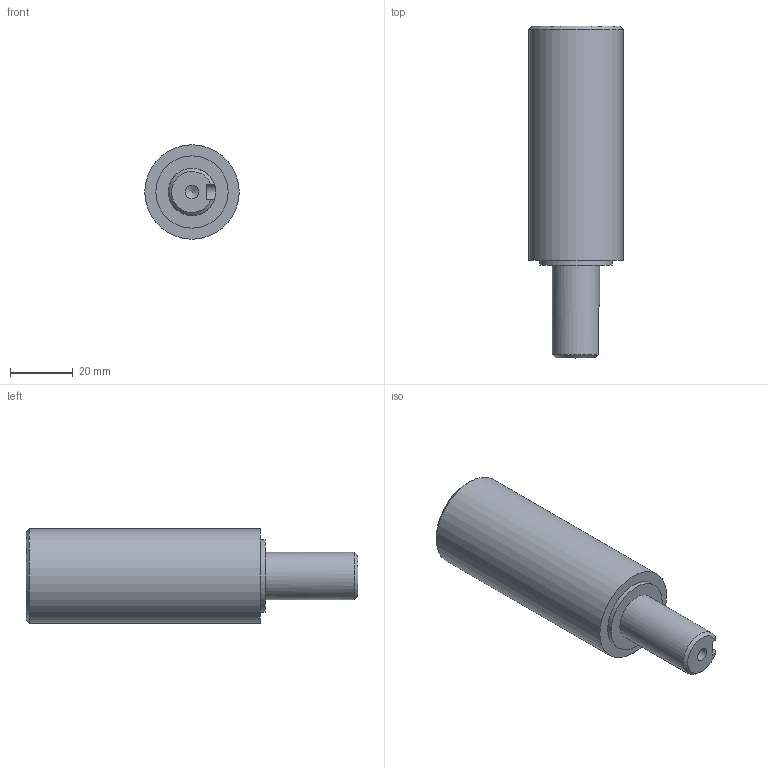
import cadquery as cq
import math

total_length = 105.5
body_diameter = 30.0
body_length = 74.5
body_chamfer = 1.0
collar_diameter = 23.0
collar_length = 1.5
shaft_diameter = 15.0
shaft_chamfer = 1.0

keyway_width = 5.0
keyway_depth = 3.0
keyway_length = 17.0

hole_diameter = 4.3
hole_depth = 12.0
drill_point_angle = 118.0

shaft_length = total_length - body_length - collar_length


def cylinder_along_y(diameter, start_y, length):
    """Solid cylinder on the Y axis, from start_y towards +Y."""
    plane = cq.Plane(origin=(0, start_y, 0), xDir=(1, 0, 0), normal=(0, 1, 0))
    return cq.Workplane(plane).circle(diameter / 2).extrude(length)


def turned_blank():
    """Shaft, collar and body stacked towards +Y, with both ends chamfered."""
    shaft = cylinder_along_y(shaft_diameter, 0, shaft_length).faces("<Y").chamfer(shaft_chamfer)
    collar = cylinder_along_y(collar_diameter, shaft_length, collar_length)
    body_start = shaft_length + collar_length
    body = cylinder_along_y(body_diameter, body_start, body_length).faces(">Y").chamfer(body_chamfer)
    return shaft.union(collar).union(body)


def keyway_cutter():
    """Slot with a flat floor and a rounded inner end."""
    shaft_radius = shaft_diameter / 2
    half_width = keyway_width / 2
    straight_length = keyway_length - half_width
    floor = cq.Workplane("YZ", origin=(shaft_radius - keyway_depth, 0, 0))
    return (
        floor.moveTo(0, -half_width)
        .lineTo(straight_length, -half_width)
        .threePointArc((keyway_length, 0), (straight_length, half_width))
        .lineTo(0, half_width)
        .close()
        .extrude(keyway_depth)
    )


def centre_hole_cutter():
    """Blind hole from the shaft end, finished by a cone."""
    radius = hole_diameter / 2
    point_length = radius / math.tan(math.radians(drill_point_angle / 2))
    half_section = cq.Workplane("XY").polyline(
        [(0, 0), (radius, 0), (radius, hole_depth), (0, hole_depth + point_length)]
    )
    return half_section.close().revolve(360, (0, 0, 0), (0, 1, 0))


result = turned_blank().cut(keyway_cutter()).cut(centre_hole_cutter())